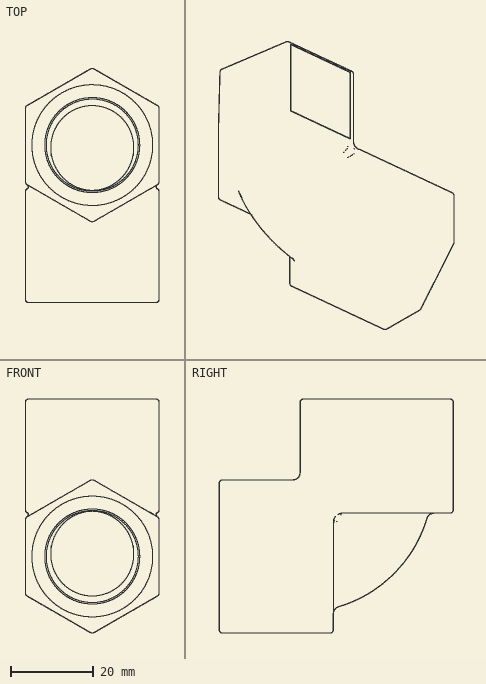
import cadquery as cq
import math


overall_length = 57.05
across_flats = 32.55
hub_length = 27.85
edge_round = 0.85
corner_angle = math.radians(30)
across_corners = across_flats / math.cos(corner_angle)
tip_loss = edge_round * (1 / math.cos(corner_angle) - 1)
hub_reach = across_corners / 2 - tip_loss
hub_end = overall_length - hub_reach
hub_start = hub_end - hub_length

bend_radius = 18.35
body_radius = 13.6
body_overlap = 1.15
inner_round = 1.7

mouth_diameter = 29.4
bore_diameter = 23.15
bore_end_diameter = 22.4
mouth_depth = (mouth_diameter - bore_diameter) / 2
bore_end = hub_end - 23.6
passage_radius = 10.1

panel_width = 16.95
panel_height = 25.55
panel_depth = 0.1
panel_top_margin = 1.2


def lay_forward(shape):
    """Turn a shape built along +Z so that it runs along -Y."""
    return shape.rotate((0, 0, 0), (1, 0, 0), 90)


def upright_hub():
    """Hexagonal hub with two corners in the YZ plane and all edges rounded."""
    return (
        cq.Workplane("XY", origin=(0, 0, hub_start))
        .transformed(rotate=(0, 0, 90))
        .polygon(6, across_corners)
        .extrude(hub_length)
        .edges()
        .fillet(edge_round)
    )


def joined_hubs():
    """Both hubs, with the mitred valley between them rounded."""
    hub = upright_hub()
    valley_start = across_corners / 4
    valley = cq.selectors.BoxSelector(
        (-across_flats / 2, -across_corners / 2, valley_start),
        (across_flats / 2, -valley_start, across_corners / 2),
    )
    return hub.union(lay_forward(hub)).edges(valley).fillet(inner_round)


def quarter_bend(tube_radius, reach):
    """Round tube curving from one hub to the other, kept to y > -reach and z < reach."""
    bend_centre = cq.Vector(0, -bend_radius, bend_radius)
    ring = cq.Solid.makeTorus(bend_radius, tube_radius, bend_centre, cq.Vector(1, 0, 0))
    size = 2 * overall_length
    quadrant = cq.Workplane("XY").box(size, size, size).translate(
        (0, size / 2 - reach, reach - size / 2)
    )
    return cq.Workplane(ring).intersect(quadrant)


def outer_shape():
    """Hubs and curved body, with the corner around the body rounded."""
    body = quarter_bend(body_radius, hub_start + body_overlap)
    back_corner = cq.selectors.BoxSelector(
        (-body_radius, -hub_start - edge_round, -body_radius),
        (body_radius, body_radius, hub_start + edge_round),
    )
    return joined_hubs().union(body).edges(back_corner).fillet(inner_round)


def upright_socket():
    """Countersunk mouth, tapered bore and conical throat, along +Z."""
    profile = [
        (0, hub_end),
        (mouth_diameter / 2, hub_end),
        (bore_diameter / 2, hub_end - mouth_depth),
        (bore_end_diameter / 2, bore_end),
        (0, bore_end - bore_end_diameter / 2),
    ]
    return cq.Workplane("XZ").polyline(profile).close().revolve(360, (0, 0, 0), (0, 1, 0))


def cavity():
    """Both sockets joined by the curved passage."""
    socket = upright_socket()
    passage = quarter_bend(passage_radius, bore_end)
    return passage.union(socket).union(lay_forward(socket))


def label_panel():
    """Block that recesses the -X flat of the upper hub."""
    centre_z = hub_end - panel_top_margin - panel_height / 2
    return cq.Workplane("XY").box(2 * panel_depth, panel_width, panel_height).translate(
        (-across_flats / 2, 0, centre_z)
    )


result = outer_shape().cut(cavity()).cut(label_panel())